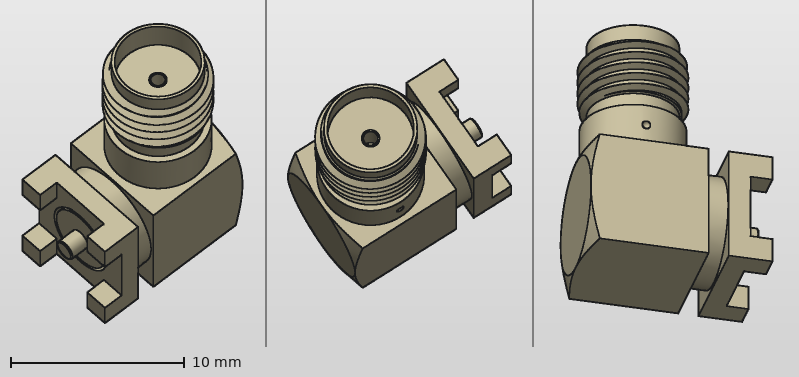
import cadquery as cq
import math


block_width = 7.0
block_back_y = 3.4
block_front_y = block_back_y - block_width
axis_z = block_width / 2
back_chamfer_angle = 20

neck_radius = 3.31
neck_length = 1.2
plate_thickness = 1.29
foot_length = 1.3
foot_width = 1.5
neck_front_y = block_front_y - neck_length
plate_front_y = neck_front_y - plate_thickness
foot_front_y = plate_front_y - foot_length

total_height = 15.2
collar_radius = 3.1
collar_height = 2.6
collar_top_z = block_width + collar_height
barrel_radius = 2.69
barrel_bore_radius = 2.5
barrel_bore_depth = 1.8
insulator_top_z = total_height - barrel_bore_depth
dimple_radius = 0.25

plain_length = 0.99
thread_bottom_z = collar_top_z + plain_length
thread_top_z = total_height - plain_length
thread_pitch = 0.705
crest_radius = 3.2
root_radius = 2.81
ridge_base_radius = 2.74
flank_angle = 30
crest_z_at_plus_x = 13.47
end_taper_slope = 0.65
envelope_clearance = 0.15

contact_radius = 0.52
contact_bore_radius = 0.418
contact_bore_depth = 1.98

opening_radius = 2.02
opening_rim_radius = 2.2
opening_chamfer = opening_rim_radius - opening_radius
pin_radius = 0.64
pin_tip_setback = 0.05
pin_tip_y = foot_front_y + pin_tip_setback
pin_tip_chamfer = 0.08


def cylinder_z(radius, bottom_z, top_z):
    return cq.Workplane("XY").workplane(offset=bottom_z).circle(radius).extrude(top_z - bottom_z)


def cylinder_y(radius, back_y, front_y):
    """Cylinder on the board-side axis, extruded towards -Y."""
    plane = cq.Workplane("XZ", origin=(0, back_y, axis_z))
    return plane.circle(radius).extrude(back_y - front_y)


def square_slab(back_y, front_y):
    plane = cq.Workplane("XZ", origin=(0, back_y, axis_z))
    return plane.rect(block_width, block_width).extrude(back_y - front_y)


def make_block():
    back_radius = block_width / 2
    front_radius = back_radius + block_width * math.tan(math.radians(90 - back_chamfer_angle))
    cone = cq.Workplane(cq.Solid.makeCone(
        back_radius, front_radius, block_width,
        pnt=cq.Vector(0, block_back_y, axis_z), dir=cq.Vector(0, -1, 0)))
    return square_slab(block_back_y, block_front_y).intersect(cone)


def make_footed_plate():
    plate = square_slab(neck_front_y, plate_front_y)
    foot_offset = (block_width - foot_width) / 2
    corners = [(x, z) for x in (-foot_offset, foot_offset) for z in (-foot_offset, foot_offset)]
    feet = (
        cq.Workplane("XZ", origin=(0, plate_front_y, axis_z))
        .pushPoints(corners)
        .rect(foot_width, foot_width)
        .extrude(foot_length)
    )
    return plate.union(feet)


def make_thread():
    turns_below = math.ceil((crest_z_at_plus_x - thread_bottom_z) / thread_pitch) + 1
    turns_above = math.ceil((thread_top_z - crest_z_at_plus_x) / thread_pitch) + 1
    start_z = crest_z_at_plus_x - turns_below * thread_pitch
    helix_height = (turns_below + turns_above) * thread_pitch
    half_base = (crest_radius - ridge_base_radius) * math.tan(math.radians(flank_angle))
    helix = cq.Wire.makeHelix(thread_pitch, helix_height, ridge_base_radius, center=cq.Vector(0, 0, start_z))
    ridge = (
        cq.Workplane("XZ")
        .moveTo(ridge_base_radius, start_z - half_base)
        .lineTo(crest_radius, start_z)
        .lineTo(ridge_base_radius, start_z + half_base)
        .close()
        .sweep(cq.Workplane(helix), isFrenet=True)
    )
    envelope_radius = crest_radius + envelope_clearance
    taper_height = (envelope_radius - barrel_radius) * end_taper_slope
    envelope = (
        cq.Workplane("XZ")
        .moveTo(0, thread_bottom_z)
        .lineTo(barrel_radius, thread_bottom_z)
        .lineTo(envelope_radius, thread_bottom_z + taper_height)
        .lineTo(envelope_radius, thread_top_z - taper_height)
        .lineTo(barrel_radius, thread_top_z)
        .lineTo(0, thread_top_z)
        .close()
        .revolve(360, (0, 0, 0), (0, 1, 0))
    )
    core = cylinder_z(root_radius, thread_bottom_z, thread_top_z)
    return core.intersect(envelope).union(ridge.intersect(envelope, clean=False), clean=False)


def make_tower():
    collar = cylinder_z(collar_radius, block_width, collar_top_z)
    dimple = cq.Workplane("XY").sphere(dimple_radius)
    dimple = dimple.translate((-collar_radius, 0, block_width + collar_height / 2))
    barrel = cylinder_z(barrel_radius, collar_top_z, total_height)
    return collar.union(barrel).union(make_thread(), clean=False).cut(dimple, clean=False)


def make_housing():
    body = make_block().union(cylinder_y(neck_radius, block_front_y, neck_front_y))
    body = body.union(make_footed_plate()).union(make_tower(), clean=False)
    barrel_bore = cylinder_z(barrel_bore_radius, block_width, total_height)
    opening = cylinder_y(opening_radius, block_front_y, plate_front_y)
    countersink = cq.Workplane(cq.Solid.makeCone(
        opening_rim_radius, opening_radius, opening_chamfer,
        pnt=cq.Vector(0, plate_front_y, axis_z), dir=cq.Vector(0, 1, 0)))
    return body.cut(barrel_bore, clean=False).cut(opening, clean=False).cut(countersink, clean=False)


def make_tower_insulator():
    insulator = cylinder_z(barrel_bore_radius, block_width, insulator_top_z)
    return insulator.cut(cylinder_z(contact_radius, block_width, insulator_top_z))


def make_socket_contact():
    contact = cylinder_z(contact_radius, block_width, insulator_top_z)
    bore = cylinder_z(contact_bore_radius, insulator_top_z - contact_bore_depth, insulator_top_z)
    return contact.cut(bore)


def make_front_insulator():
    insulator = cylinder_y(opening_radius, block_front_y, plate_front_y)
    return insulator.cut(cylinder_y(pin_radius, block_front_y, plate_front_y))


def make_pin():
    return cylinder_y(pin_radius, block_front_y, pin_tip_y).faces("<Y").chamfer(pin_tip_chamfer)


housing = make_housing()
tower_insulator = make_tower_insulator()
socket_contact = make_socket_contact()
front_insulator = make_front_insulator()
pin = make_pin()

result = cq.Compound.makeCompound([
    housing.val(),
    tower_insulator.val(),
    socket_contact.val(),
    front_insulator.val(),
    pin.val(),
])